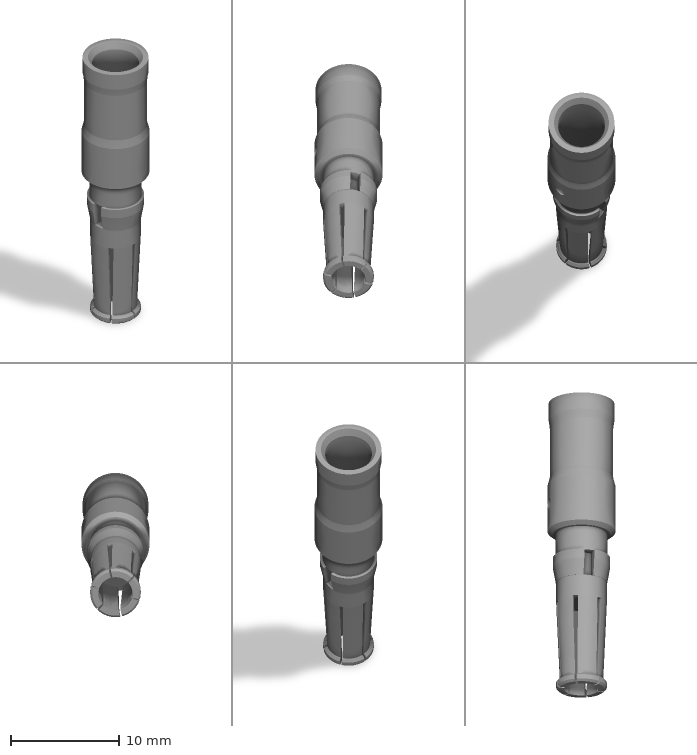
import cadquery as cq
import math

lip_height = 0.82
lip_bevel = 0.2
tine_length = 8.48
collar_base = 10.48
collar_band_base = 12.05
collar_top = 12.97
barrel_base = 15.28
barrel_chamfer_height = 0.35
shoulder_base = 20.09
shoulder_top = 20.93
rim_taper_base = 25.88
rim_base = 26.65
total_height = 28.25

barrel_diameter = 6.3
barrel_radius = barrel_diameter / 2
barrel_chamfer_width = 0.42
waist_radius = 2.95
rim_radius = 3.05
neck_radius = 2.4
collar_radius = 2.65
collar_base_radius = 2.37
sleeve_radius = 2.35
tine_tip_radius = 2.0
lip_radius = 2.35

wire_bore_radius = 2.18
wire_bore_floor = 16.95
drill_point_angle = 118.0
countersink_radius = 2.55
countersink_depth = 0.62

inspection_diameter = 1.0
inspection_height = 18.08

tine_thickness = 0.42
slot_count = 6
slot_root_width = 0.5
slot_tip_width = 0.17

notch_width = 0.95
notch_floor_radius = 1.55


def revolve_profile(points):
    """Revolve (radius, height) points about the Z axis."""
    return cq.Workplane("XZ").polyline(points).close().revolve(360, (0, 0), (0, 1))


def outer_body():
    return revolve_profile([
        (0, 0),
        (lip_radius - lip_bevel, 0),
        (lip_radius, lip_bevel),
        (lip_radius, lip_height - lip_bevel),
        (lip_radius - lip_bevel, lip_height),
        (tine_tip_radius, lip_height),
        (sleeve_radius, tine_length),
        (sleeve_radius, collar_base),
        (collar_base_radius, collar_base),
        (collar_radius, collar_band_base),
        (collar_radius, collar_top),
        (neck_radius, collar_top),
        (neck_radius, barrel_base),
        (barrel_radius - barrel_chamfer_width, barrel_base),
        (barrel_radius, barrel_base + barrel_chamfer_height),
        (barrel_radius, shoulder_base),
        (waist_radius, shoulder_top),
        (waist_radius, rim_taper_base),
        (rim_radius, rim_base),
        (rim_radius, total_height),
        (0, total_height),
    ])


def wire_bore():
    point_depth = wire_bore_radius / math.tan(math.radians(drill_point_angle / 2))
    return revolve_profile([
        (0, wire_bore_floor - point_depth),
        (wire_bore_radius, wire_bore_floor),
        (wire_bore_radius, total_height - countersink_depth),
        (countersink_radius, total_height),
        (0, total_height),
    ])


def inspection_hole():
    return (
        cq.Workplane("YZ")
        .center(0, inspection_height)
        .circle(inspection_diameter / 2)
        .extrude(-barrel_radius)
    )


def pin_bore():
    """Tapered bore that keeps the tines at an even thickness."""
    tip_radius = tine_tip_radius - tine_thickness
    root_radius = sleeve_radius - tine_thickness
    return revolve_profile([
        (0, 0),
        (tip_radius, 0),
        (tip_radius, lip_height),
        (root_radius, tine_length),
        (0, tine_length),
    ])


def tine_slot(angle):
    """Wedge from the axis outward, wider at the tine root than at the tip."""
    return (
        cq.Workplane("YZ")
        .polyline([
            (-slot_tip_width / 2, 0),
            (slot_tip_width / 2, 0),
            (slot_root_width / 2, tine_length),
            (-slot_root_width / 2, tine_length),
        ])
        .close()
        .extrude(barrel_radius)
        .rotate((0, 0, 0), (0, 0, 1), angle)
    )


def collar_notch():
    """Gap through the collar, down to a round core and open only toward -Y."""
    height = collar_top - collar_base
    gap = (
        cq.Workplane("XY", origin=(0, -collar_radius / 2, collar_base))
        .rect(notch_width, collar_radius)
        .extrude(height)
    )
    core = cq.Workplane("XY", origin=(0, 0, collar_base)).circle(notch_floor_radius).extrude(height)
    return gap.cut(core)


result = outer_body().cut(wire_bore()).cut(inspection_hole()).cut(pin_bore())
for index in range(slot_count):
    result = result.cut(tine_slot(index * 360 / slot_count))
result = result.cut(collar_notch())